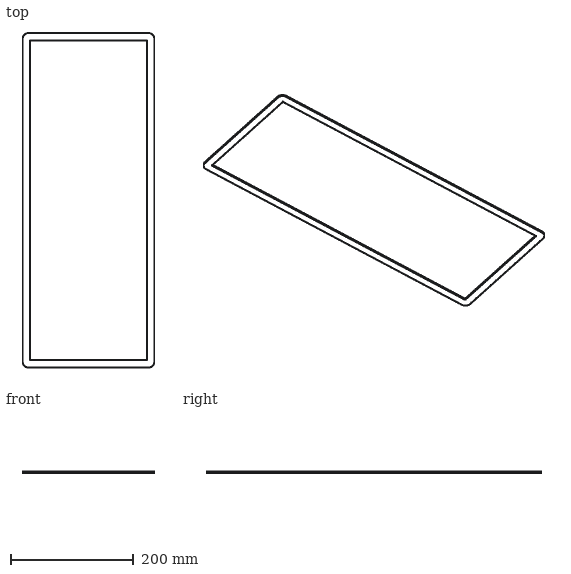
import cadquery as cq

width = 215.0
length = 545.0
thickness = 3.0

rim = 12.5
corner_radius = 10.0

plate = cq.Workplane("XY").box(width, length, thickness).edges("|Z").fillet(corner_radius)
opening = cq.Workplane("XY").box(width - 2 * rim, length - 2 * rim, thickness)

result = plate.cut(opening)